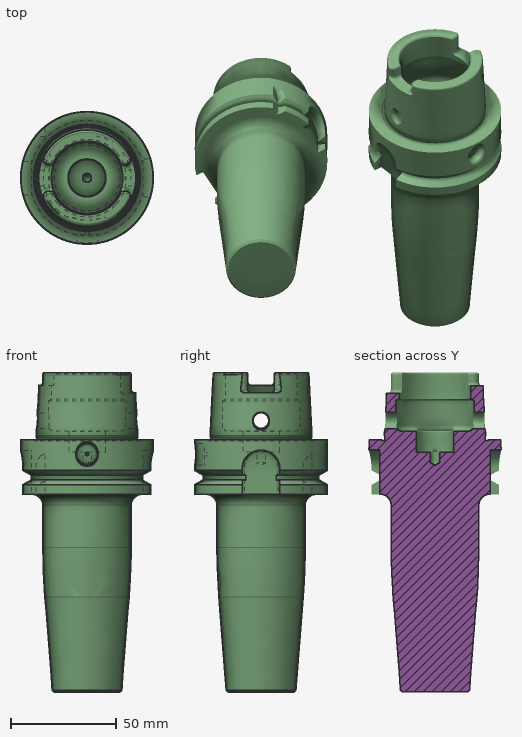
import cadquery as cq
import math


SHANK_LENGTH = 31.9
GAUGE_RADIUS = 24.0
GAUGE_HEIGHT = 6.3
TAPER_SLOPE = 0.05
SHANK_RIM_FILLET = 1.0
RELIEF_HEIGHT = 2.2
RELIEF_RADIUS = 24.0
FACE_GROOVE_RADIUS = 25.4
FACE_GROOVE_DEPTH = 0.4

BORE_RADIUS = 17.0
BORE_CHAMFER = 0.5
BORE_LIP_DEPTH = 12.5
CLAMP_RADIUS = 18.5
CLAMP_ANGLE = 60.0
BORE_DEPTH = 27.7
BORE_FLOOR_FILLET = 2.7
TUBE_HOLE_RADIUS = 8.75
TUBE_HOLE_CHAMFER = 0.25
TUBE_HOLE_DEPTH = 10.0
CENTRE_HOLE_RADIUS = 2.1
CENTRE_HOLE_DEPTH = 5.0
DRILL_POINT_ANGLE = 118.0

DRIVE_SLOT_WIDTH = 12.54
DRIVE_SLOT_FLOOR_LEFT = 25.8
DRIVE_SLOT_FLOOR_RIGHT = 22.3
DRIVE_SLOT_FLOOR_FILLET = 1.5
DRIVE_SLOT_FLARE_RADIUS = 3.0
DRIVE_SLOT_FLAT = 21.0
BLOCK_HALF_WIDTH = 35.0

CROSS_HOLE_RADIUS = 3.75
CROSS_HOLE_HEIGHT = 9.1
CROSS_HOLE_CHAMFER = 0.5

FLANGE_RADIUS = 31.5
FLANGE_THICKNESS = 26.0
GROOVE_CENTRE_DEPTH = 18.0
GROOVE_ROOT_RADIUS = 27.5
GROOVE_ROOT_WIDTH = 2.3
GROOVE_FLANK_ANGLE = 30.0

KEYWAY_FLOOR = 26.5
KEYWAY_WIDTH_LEFT = 16.0
KEYWAY_WIDTH_RIGHT = 18.0
KEYWAY_TOP_DEPTH = 5.0
NOTCH_FLOOR = 20.15
NOTCH_EDGE = 19.9
NOTCH_ARC_RADIUS = 7.0
NOTCH_ARC_DEPTH = 13.0
CHIP_HOLE_RADIUS = 5.0
CHIP_HOLE_DEPTH = 4.6
CHIP_HOLE_HEIGHT = -6.8
CHIP_HOLE_COUNTERSINK_RADIUS = 5.8
CHIP_PILOT_RADIUS = 0.75
CHIP_PILOT_DEPTH = 1.0

OVERCUT = 1.0

BODY_LENGTH = 120.0
BODY_RADIUS = 21.0
BODY_FLANGE_FILLET = 5.0
NOSE_RADIUS = 16.5
NOSE_ANGLE = 4.5
NOSE_BLEND_RADIUS = 300.0
NOSE_CHAMFER = 1.0


def shank_radius(z):
    return GAUGE_RADIUS - TAPER_SLOPE * (z - GAUGE_HEIGHT)


def outer_body():
    nose_slope = math.tan(math.radians(NOSE_ANGLE))
    corner_z = -BODY_LENGTH + (BODY_RADIUS - NOSE_RADIUS) / nose_slope
    half_angle = math.radians(NOSE_ANGLE) / 2
    tangent_length = NOSE_BLEND_RADIUS * math.tan(half_angle)
    blend_top_z = corner_z + tangent_length
    blend_bottom_z = corner_z - tangent_length * math.cos(2 * half_angle)
    blend_bottom_r = BODY_RADIUS - tangent_length * math.sin(2 * half_angle)
    blend_middle_z = blend_top_z - NOSE_BLEND_RADIUS * math.sin(half_angle)
    blend_middle_r = BODY_RADIUS - NOSE_BLEND_RADIUS * (1 - math.cos(half_angle))

    fillet_r = BODY_RADIUS + BODY_FLANGE_FILLET
    fillet_z = -FLANGE_THICKNESS - BODY_FLANGE_FILLET
    fillet_offset = BODY_FLANGE_FILLET * math.sqrt(0.5)

    flank_height = (FLANGE_RADIUS - GROOVE_ROOT_RADIUS) * math.tan(math.radians(GROOVE_FLANK_ANGLE))
    root_half = GROOVE_ROOT_WIDTH / 2
    mouth_half = root_half + flank_height

    profile = (
        cq.Workplane("YZ")
        .moveTo(0, -BODY_LENGTH)
        .lineTo(NOSE_RADIUS - NOSE_CHAMFER, -BODY_LENGTH)
        .lineTo(NOSE_RADIUS + NOSE_CHAMFER * nose_slope, -BODY_LENGTH + NOSE_CHAMFER)
        .lineTo(blend_bottom_r, blend_bottom_z)
        .threePointArc((blend_middle_r, blend_middle_z), (BODY_RADIUS, blend_top_z))
        .lineTo(BODY_RADIUS, fillet_z)
        .threePointArc((fillet_r - fillet_offset, fillet_z + fillet_offset), (fillet_r, -FLANGE_THICKNESS))
        .lineTo(FLANGE_RADIUS, -FLANGE_THICKNESS)
        .lineTo(FLANGE_RADIUS, -GROOVE_CENTRE_DEPTH - mouth_half)
        .lineTo(GROOVE_ROOT_RADIUS, -GROOVE_CENTRE_DEPTH - root_half)
        .lineTo(GROOVE_ROOT_RADIUS, -GROOVE_CENTRE_DEPTH + root_half)
        .lineTo(FLANGE_RADIUS, -GROOVE_CENTRE_DEPTH + mouth_half)
        .lineTo(FLANGE_RADIUS, 0)
        .lineTo(FACE_GROOVE_RADIUS, 0)
        .lineTo(FACE_GROOVE_RADIUS - FACE_GROOVE_DEPTH, -FACE_GROOVE_DEPTH)
        .lineTo(RELIEF_RADIUS, -FACE_GROOVE_DEPTH)
        .lineTo(RELIEF_RADIUS, RELIEF_HEIGHT / 2)
        .lineTo(shank_radius(RELIEF_HEIGHT), RELIEF_HEIGHT)
        .lineTo(shank_radius(SHANK_LENGTH), SHANK_LENGTH)
        .lineTo(0, SHANK_LENGTH)
        .close()
    )
    return profile.revolve(360, (0, 0, 0), (0, 1, 0))


def bore_cutter():
    lip_z = SHANK_LENGTH - BORE_LIP_DEPTH
    floor_z = SHANK_LENGTH - BORE_DEPTH
    clamp_z = lip_z - (CLAMP_RADIUS - BORE_RADIUS) / math.tan(math.radians(CLAMP_ANGLE))
    fillet_r = CLAMP_RADIUS - BORE_FLOOR_FILLET
    fillet_z = floor_z + BORE_FLOOR_FILLET
    fillet_offset = BORE_FLOOR_FILLET * math.sqrt(0.5)
    tube_z = floor_z - TUBE_HOLE_DEPTH
    hole_z = tube_z - CENTRE_HOLE_DEPTH
    point_z = hole_z - CENTRE_HOLE_RADIUS / math.tan(math.radians(DRILL_POINT_ANGLE / 2))

    profile = (
        cq.Workplane("YZ")
        .moveTo(0, SHANK_LENGTH)
        .lineTo(BORE_RADIUS + BORE_CHAMFER, SHANK_LENGTH)
        .lineTo(BORE_RADIUS, SHANK_LENGTH - BORE_CHAMFER)
        .lineTo(BORE_RADIUS, lip_z)
        .lineTo(CLAMP_RADIUS, clamp_z)
        .lineTo(CLAMP_RADIUS, fillet_z)
        .threePointArc((fillet_r + fillet_offset, fillet_z - fillet_offset), (fillet_r, floor_z))
        .lineTo(TUBE_HOLE_RADIUS + TUBE_HOLE_CHAMFER, floor_z)
        .lineTo(TUBE_HOLE_RADIUS, floor_z - TUBE_HOLE_CHAMFER)
        .lineTo(TUBE_HOLE_RADIUS, tube_z)
        .lineTo(CENTRE_HOLE_RADIUS, tube_z)
        .lineTo(CENTRE_HOLE_RADIUS, hole_z)
        .lineTo(0, point_z)
        .close()
    )
    return profile.revolve(360, (0, 0, 0), (0, 1, 0))


def drive_slot_cutter(side, floor_z):
    """Slot through the shank rim on one side (-1 for -X, +1 for +X), flared at its outer end."""
    half_width = DRIVE_SLOT_WIDTH / 2
    flare = DRIVE_SLOT_FLARE_RADIUS
    flare_start_x = DRIVE_SLOT_FLAT - flare
    flare_offset = flare * (1 - math.sqrt(0.5))
    half_outline = (
        cq.Workplane("XY")
        .lineTo(0, half_width)
        .lineTo(flare_start_x, half_width)
        .threePointArc(
            (DRIVE_SLOT_FLAT - flare_offset, half_width + flare_offset),
            (DRIVE_SLOT_FLAT, half_width + flare),
        )
        .lineTo(DRIVE_SLOT_FLAT, BLOCK_HALF_WIDTH)
        .lineTo(BLOCK_HALF_WIDTH, BLOCK_HALF_WIDTH)
        .lineTo(BLOCK_HALF_WIDTH, 0)
        .close()
    )
    half = half_outline.extrude(SHANK_LENGTH)
    slot = half.union(half.mirror("XZ")).clean()
    slot = slot.faces("<Z").edges().fillet(DRIVE_SLOT_FLOOR_FILLET)
    if side < 0:
        slot = slot.mirror("YZ")
    return slot.translate((0, 0, floor_z))


def slotted_block():
    """Square block around the whole part with both drive slots and their rounded upper edges."""
    width = 2 * BLOCK_HALF_WIDTH
    block = cq.Workplane("XY", origin=(0, 0, -BODY_LENGTH)).box(
        width, width, BODY_LENGTH + SHANK_LENGTH, centered=(True, True, False)
    )
    block = block.cut(drive_slot_cutter(-1, DRIVE_SLOT_FLOOR_LEFT))
    block = block.cut(drive_slot_cutter(1, DRIVE_SLOT_FLOOR_RIGHT))
    return block.faces(">Z").edges("|X").fillet(SHANK_RIM_FILLET)


def cross_hole_cutter():
    """Hole along X through both shank walls, countersunk from outside."""
    sink_end = shank_radius(CROSS_HOLE_HEIGHT) - CROSS_HOLE_CHAMFER
    sink_depth = CROSS_HOLE_CHAMFER + OVERCUT
    mouth = sink_end + sink_depth
    sink_radius = CROSS_HOLE_RADIUS + sink_depth
    profile = (
        cq.Workplane("XZ")
        .moveTo(-mouth, 0)
        .lineTo(-mouth, sink_radius)
        .lineTo(-sink_end, CROSS_HOLE_RADIUS)
        .lineTo(sink_end, CROSS_HOLE_RADIUS)
        .lineTo(mouth, sink_radius)
        .lineTo(mouth, 0)
        .close()
    )
    return profile.revolve(360, (0, 0, 0), (1, 0, 0)).translate((0, 0, CROSS_HOLE_HEIGHT))


def arched_cutter(width, arc_top_z, floor_x, centre_y, side):
    """Flat-floored keyway with a round upper end, open downwards and outwards along X."""
    radius = width / 2
    arc_z = arc_top_z - radius
    outline = (
        cq.Workplane("YZ", origin=(side * floor_x, centre_y, 0))
        .moveTo(-radius, -FLANGE_THICKNESS)
        .lineTo(-radius, arc_z)
        .threePointArc((0, arc_top_z), (radius, arc_z))
        .lineTo(radius, -FLANGE_THICKNESS)
        .close()
    )
    return outline.extrude(side * FLANGE_RADIUS)


def chip_hole_cutter():
    """Blind countersunk hole with a small pilot, drilled into the flange from -Y."""
    floor = FLANGE_RADIUS - CHIP_HOLE_DEPTH
    sink_end = FLANGE_RADIUS - (CHIP_HOLE_COUNTERSINK_RADIUS - CHIP_HOLE_RADIUS)
    mouth = FLANGE_RADIUS + OVERCUT
    profile = (
        cq.Workplane("XY")
        .moveTo(0, -mouth)
        .lineTo(CHIP_HOLE_COUNTERSINK_RADIUS + OVERCUT, -mouth)
        .lineTo(CHIP_HOLE_RADIUS, -sink_end)
        .lineTo(CHIP_HOLE_RADIUS, -floor)
        .lineTo(CHIP_PILOT_RADIUS, -floor)
        .lineTo(CHIP_PILOT_RADIUS, -floor + CHIP_PILOT_DEPTH)
        .lineTo(0, -floor + CHIP_PILOT_DEPTH)
        .close()
    )
    return profile.revolve(360, (0, 0, 0), (0, 1, 0)).translate((0, 0, CHIP_HOLE_HEIGHT))


result = outer_body().edges(">Z").fillet(SHANK_RIM_FILLET)
result = result.intersect(slotted_block())
result = result.cut(bore_cutter())
result = result.cut(cross_hole_cutter())
result = result.cut(arched_cutter(KEYWAY_WIDTH_LEFT, -KEYWAY_TOP_DEPTH, KEYWAY_FLOOR, 0, -1))
result = result.cut(arched_cutter(KEYWAY_WIDTH_RIGHT, -KEYWAY_TOP_DEPTH, KEYWAY_FLOOR, 0, 1))
result = result.cut(
    arched_cutter(2 * NOTCH_ARC_RADIUS, NOTCH_ARC_RADIUS - NOTCH_ARC_DEPTH, NOTCH_FLOOR,
                  NOTCH_EDGE + NOTCH_ARC_RADIUS, -1)
)
result = result.cut(chip_hole_cutter())